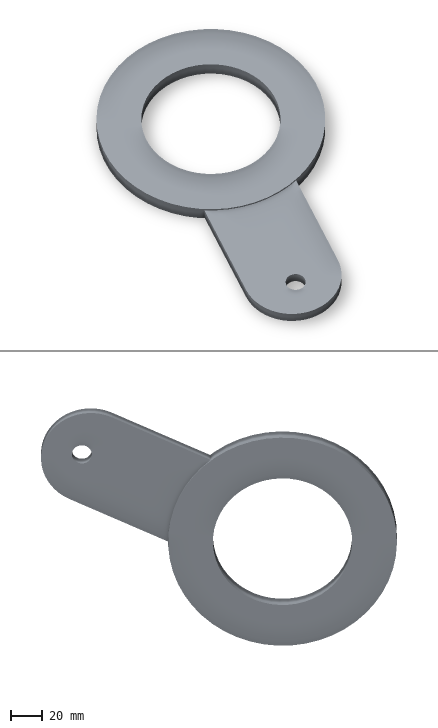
import cadquery as cq

ring_diameter = 146.2
ring_radius = ring_diameter / 2
bore_diameter = 89.0
ring_thickness = 9.5

total_length = 240.5
handle_width = 63.5
handle_thickness = 7.2
handle_tip_x = total_length - ring_radius
handle_end_center_x = handle_tip_x - handle_width / 2

hole_diameter = 12.7
hole_to_tip = 25.5
hole_center_x = handle_tip_x - hole_to_tip


def centered_disc(center_x, diameter, thickness):
    """Disc on the X axis, centred about the plane Z = 0."""
    disc = cq.Workplane("XY").center(center_x, 0).circle(diameter / 2)
    return disc.extrude(thickness / 2, both=True)


ring = centered_disc(0, ring_diameter, ring_thickness)
handle_bar = cq.Workplane("XY").box(
    handle_end_center_x, handle_width, handle_thickness, centered=(False, True, True)
)
handle_end = centered_disc(handle_end_center_x, handle_width, handle_thickness)
bore = centered_disc(0, bore_diameter, ring_thickness)
hanging_hole = centered_disc(hole_center_x, hole_diameter, handle_thickness)

result = ring.union(handle_bar).union(handle_end).cut(hanging_hole).cut(bore)